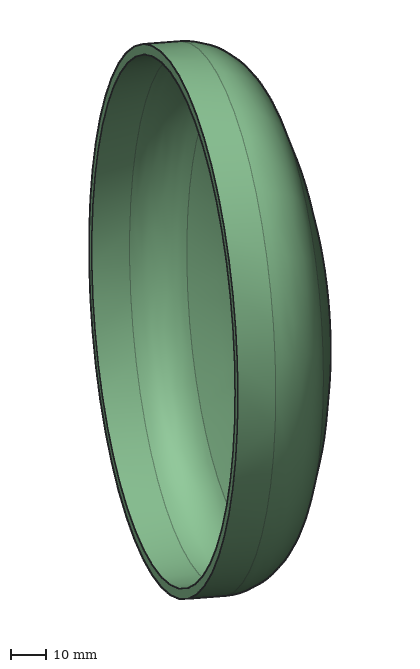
import cadquery as cq
import math

outer_diameter = 159.0
wall = 3.0
flange_length = 11.1
crown_inner_radius = outer_diameter
knuckle_inner_radius = 0.1 * outer_diameter

knuckle_center_x = outer_diameter / 2 - wall - knuckle_inner_radius
crown_angle = math.asin(knuckle_center_x / (crown_inner_radius - knuckle_inner_radius))
crown_center_y = flange_length - knuckle_center_x / math.tan(crown_angle)


def crown_point(offset, angle):
    """Point on the crown, offset outward from the inner surface, at an angle from the axis."""
    radius = crown_inner_radius + offset
    return (radius * math.sin(angle), crown_center_y + radius * math.cos(angle))


def knuckle_middle(offset):
    """Point halfway along the knuckle arc, offset outward from the inner surface."""
    radius = knuckle_inner_radius + offset
    angle = (crown_angle + math.pi / 2) / 2
    return (knuckle_center_x + radius * math.sin(angle), flange_length + radius * math.cos(angle))


outer_radius = outer_diameter / 2
inner_radius = outer_radius - wall

section = (
    cq.Workplane("XY")
    .moveTo(inner_radius, 0)
    .lineTo(outer_radius, 0)
    .lineTo(outer_radius, flange_length)
    .threePointArc(knuckle_middle(wall), crown_point(wall, crown_angle))
    .threePointArc(crown_point(wall, crown_angle / 2), crown_point(wall, 0))
    .lineTo(*crown_point(0, 0))
    .threePointArc(crown_point(0, crown_angle / 2), crown_point(0, crown_angle))
    .threePointArc(knuckle_middle(0), (inner_radius, flange_length))
    .close()
)

result = section.revolve(360, (0, 0, 0), (0, 1, 0))